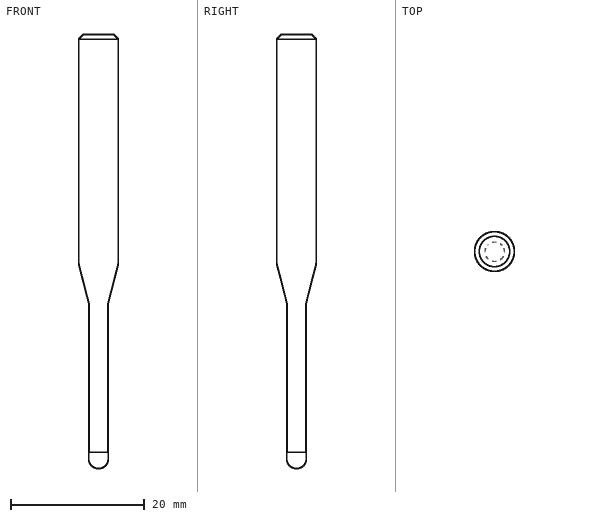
import cadquery as cq
import math

total_length = 65.0
shank_radius = 3.0
end_chamfer = 0.7

ball_radius = 1.5
tip_height = 2.5

neck_radius = 1.4
neck_top = 24.5
shank_bottom = 31.0
shoulder_height = 0.6
root_height = 0.2


def make_cutting_tip():
    """Hemisphere with a short cylindrical land above it."""
    diagonal = ball_radius * math.sin(math.radians(45))
    profile = (
        cq.Workplane("XZ")
        .moveTo(0, 0)
        .threePointArc((diagonal, ball_radius - diagonal), (ball_radius, ball_radius))
        .lineTo(ball_radius, tip_height)
        .lineTo(0, tip_height)
        .close()
    )
    return profile.revolve(360, (0, 0), (0, 1))


def make_holder():
    """Neck, cone, rounded shoulder and chamfered shank, seated on the tip."""
    cone_angle = math.atan2(shank_radius - neck_radius, shank_bottom - neck_top)
    shoulder_radius = shoulder_height / math.sin(cone_angle)

    def shoulder_point(angle):
        inset = shoulder_radius * (1 - math.cos(angle))
        drop = shoulder_radius * math.sin(angle)
        return (shank_radius - inset, shank_bottom - drop)

    root_radius = root_height / math.sin(cone_angle)

    def root_point(angle):
        offset = root_radius * (1 - math.cos(angle))
        rise = root_radius * math.sin(angle)
        return (neck_radius + offset, neck_top + rise)

    profile = (
        cq.Workplane("XZ")
        .moveTo(0, tip_height)
        .lineTo(neck_radius, tip_height)
        .lineTo(neck_radius, neck_top)
        .threePointArc(root_point(cone_angle / 2), root_point(cone_angle))
        .lineTo(*shoulder_point(cone_angle))
        .threePointArc(shoulder_point(cone_angle / 2), (shank_radius, shank_bottom))
        .lineTo(shank_radius, total_length - end_chamfer)
        .lineTo(shank_radius - end_chamfer, total_length)
        .lineTo(0, total_length)
        .close()
    )
    return profile.revolve(360, (0, 0), (0, 1))


cutting_tip = make_cutting_tip()
holder = make_holder()

result = cq.Compound.makeCompound([cutting_tip.val(), holder.val()])